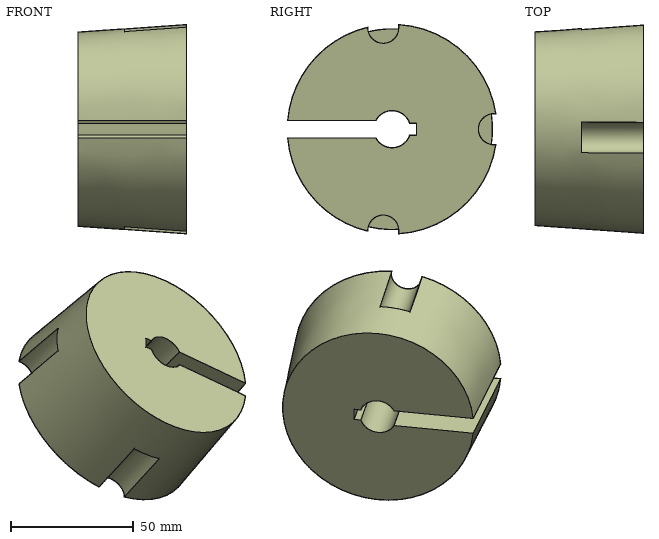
import cadquery as cq

length = 44.4
small_radius = 39.7
large_radius = 42.9

bore_radius = 7.5
keyway_width = 4.8
keyway_reach = 9.9
slot_width = 7.0

groove_radius = 6.3
groove_length = 25.4
groove_axis_radius = 41.6
groove_angles = (0, 95, -95)


def tapered_body():
    """Truncated cone from the small end at X = 0 to the large end."""
    profile = [(0, 0), (0, small_radius), (length, large_radius), (length, 0)]
    return cq.Workplane("XY").polyline(profile).close().revolve(360, (0, 0, 0), (1, 0, 0))


def through_opening():
    """Bore with a keyway towards +Y and a slot that splits the bush towards -Y."""
    bore = cq.Workplane("YZ").circle(bore_radius).extrude(length)
    keyway = cq.Workplane("XY").box(length, keyway_reach, keyway_width, centered=(False, False, True))
    slot = (
        cq.Workplane("XY")
        .box(length, large_radius, slot_width, centered=(False, False, True))
        .translate((0, -large_radius, 0))
    )
    return bore.union(keyway).union(slot)


def groove(angle):
    """Round cutter parallel to the axis, turned about X to its place on the rim."""
    return (
        cq.Workplane("YZ", origin=(length - groove_length, 0, 0))
        .center(groove_axis_radius, 0)
        .circle(groove_radius)
        .extrude(groove_length)
        .rotate((0, 0, 0), (1, 0, 0), angle)
    )


result = tapered_body().cut(through_opening())
for groove_angle in groove_angles:
    result = result.cut(groove(groove_angle))